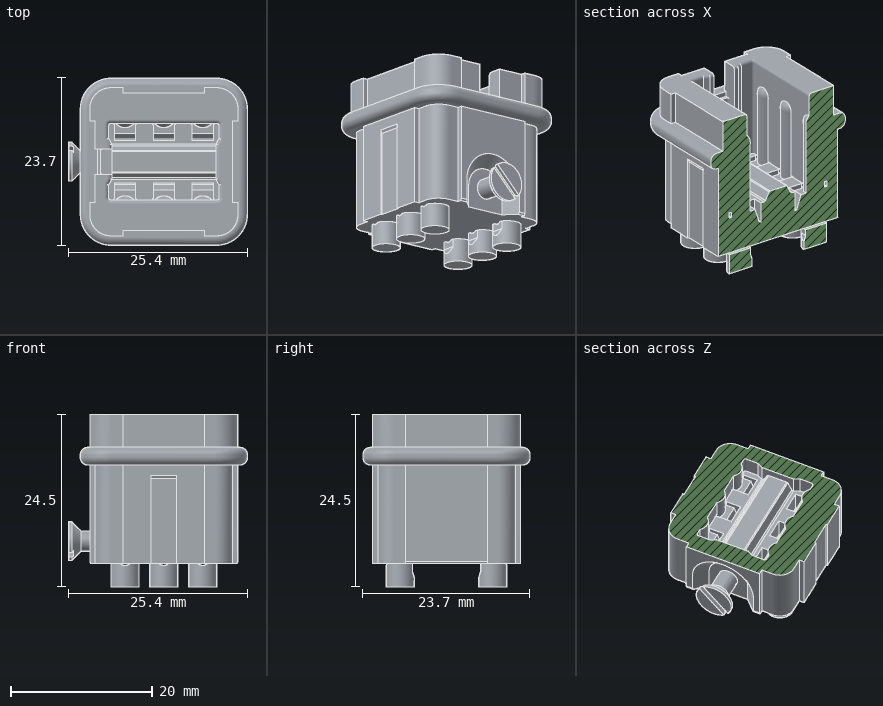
import cadquery as cq

body_half = 10.5
body_height = 21.17
step_depth = 0.75
panel_half = 5.78
corner_center = 7.5
foot_chamfer_width = 0.13
foot_chamfer_height = 0.33

ring_half = 23.7 / 2
ring_radius = 4.4
ring_bottom = 13.97
ring_top = 16.5
ring_rounding = 1.1

cavity_half_y = 5.4
cavity_half_x = 7.8
waist_half_x = 7.38
waist_half_y = 2.48
waist_slant_end = 3.3
cavity_corner = 0.25
rim_radius = 0.53
floor_z = 6.35

slot_width = 3.6
slot_step_x = -9.43
slot_pocket_x = -9.0
slot_step_z = 15.72
slot_pocket_z = 12.68
slot_pocket_corner = 0.3

ridge_profile = [(waist_half_y, 0.0), (2.23, 0.13), (1.6, 1.35), (1.42, 1.42)]

contact_pitch = 5.5
contact_y = 6.55
contact_radius = 1.7
contact_tip_radius = 1.72
contact_tip_z = 16.38
pin_radius = 4.0 / 2
pin_bottom = -3.32
pin_flat_y = 4.82
pin_flat_bottom = -1.15
pin_taper_bottom = -1.98
pin_bore_radius = 0.95
pin_bore_z = 0.7

window_width = 3.0
window_ledge_depth = 0.75
window_profile = [(4.0, window_ledge_depth), (3.25, 2.92), (3.02, 3.02)]

groove_width = 3.65
groove_depth = 0.2
groove_top = 12.5
groove_roof_drop = 0.45

screw_z = 3.2
overall_length = 25.35
screw_end_x = ring_half - overall_length
head_radius = 5.53 / 2
head_rim = 0.45
shank_radius = 2.9 / 2
shank_inner_x = -8.37
screw_slot_width = 0.9
screw_slot_depth = 0.7
screw_slot_angle = 45.0
recess_outer_radius = 4.8
recess_inner_radius = 3.02
recess_depth = 1.77


def block(x0, x1, y0, y1, z0, z1):
    """Box between the given limits."""
    return cq.Workplane("XY").box(x1 - x0, y1 - y0, z1 - z0, centered=False).translate((x0, y0, z0))


def rounded_square(half, radius, z0, z1):
    """Upright square prism with rounded corners, centered on Z."""
    return block(-half, half, -half, half, z0, z1).edges("|Z").fillet(radius)


def along_x(yz_points, half_length):
    """Prism along X with the given (Y, Z) section, centered on X = 0."""
    return cq.Workplane("YZ").polyline(yz_points).close().extrude(half_length, both=True)


def make_upper_body():
    """Four corner columns joined by set-back walls."""
    upper = rounded_square(body_half, body_half - corner_center, ring_bottom, body_height)
    inner = body_half - step_depth
    gap = block(inner, body_half, -panel_half, panel_half, ring_top, body_height)
    for turn in (0, 90, 180, 270):
        upper = upper.cut(gap.rotate((0, 0, 0), (0, 0, 1), turn))
    return upper


def make_lower_body():
    """Set-back corners with a raised panel on each side."""
    core_half = body_half - step_depth
    lower = rounded_square(core_half, core_half - corner_center, 0, ring_bottom)
    x_panels = (
        block(-body_half, body_half, -panel_half, panel_half, 0, ring_bottom)
        .faces("<Z").edges("|Y").chamfer(foot_chamfer_height, foot_chamfer_width)
    )
    y_panels = block(-panel_half, panel_half, -body_half, body_half, 0, ring_bottom)
    return lower.union(x_panels).union(y_panels)


def make_ring():
    ring = rounded_square(ring_half, ring_radius, ring_bottom, ring_top)
    return ring.faces("<Z or >Z").edges().fillet(ring_rounding)


def cut_cavity(body):
    """Open cavity, slightly narrower at mid length, with a rounded rim."""
    quarter = [
        (waist_half_x, waist_half_y),
        (cavity_half_x, waist_slant_end),
        (cavity_half_x, cavity_half_y),
    ]
    outline = []
    for sx, sy in ((1, 1), (-1, 1), (-1, -1), (1, -1)):
        corner = [(sx * x, sy * y) for x, y in quarter]
        outline += corner if sx == sy else corner[::-1]
    cavity = (
        cq.Workplane("XY").workplane(offset=floor_z)
        .polyline(outline).close().extrude(body_height - floor_z)
        .edges("|Z and (>Y or <Y)").fillet(cavity_corner)
    )
    body = body.cut(cavity)
    margin = 0.03
    rim = cq.selectors.BoxSelector(
        (-cavity_half_x - margin, -cavity_half_y - margin, body_height - margin),
        (cavity_half_x + margin, cavity_half_y + margin, body_height + margin),
    )
    return body.edges(rim).fillet(rim_radius)


def make_slot():
    """Cutter for the slot in the -X wall, its floor stepping down inward."""
    half = slot_width / 2
    slot = block(-body_half, -waist_half_x, -half, half, ring_top, body_height)
    step = block(slot_step_x, -waist_half_x, -half, half, slot_step_z, ring_top)
    pocket = (
        block(slot_pocket_x, -waist_half_x, -half, half, slot_pocket_z, ring_top)
        .edges("|Z and <X").fillet(slot_pocket_corner)
    )
    return slot.union(step).union(pocket)


def make_ridge():
    left = [(-y, floor_z + h) for y, h in ridge_profile]
    right = [(y, floor_z + h) for y, h in reversed(ridge_profile)]
    return along_x(left + right, waist_half_x)


def make_window():
    """Cutter for the floor opening at a contact on the +Y side."""
    points = [(cavity_half_y, floor_z), (cavity_half_y, floor_z - window_ledge_depth)]
    points += [(y, floor_z - depth) for y, depth in window_profile]
    points.append((window_profile[-1][0], floor_z))
    bore = (
        cq.Workplane("XY").workplane(offset=floor_z)
        .center(0, contact_y).circle(pin_radius).extrude(-window_ledge_depth)
    )
    return along_x(points, window_width / 2).union(bore)


def make_contact():
    """Dome-tipped contact with its terminal pin, on the +Y side."""
    axis = cq.Workplane("XY").center(0, contact_y)
    pin_flat = [
        (0, 0), (pin_flat_y, 0), (pin_flat_y, pin_flat_bottom),
        (contact_y - pin_radius, pin_taper_bottom), (0, pin_taper_bottom),
    ]
    bore = (
        cq.Workplane("XZ").center(0, pin_bore_z).circle(pin_bore_radius)
        .extrude(-2 * contact_y)
    )
    pin = axis.circle(pin_radius).extrude(pin_bottom)
    pin = pin.cut(along_x(pin_flat, pin_radius)).cut(bore)
    rod = axis.circle(contact_radius).extrude(contact_tip_z)
    tip = cq.Workplane("XY").sphere(contact_tip_radius).translate((0, contact_y, contact_tip_z))
    return pin.union(rod).union(tip)


def six_places(shape):
    """Copies of a +Y side shape at the three contact columns on both sides."""
    places = []
    for column in (-1, 0, 1):
        for turn in (0, 180):
            placed = shape.rotate((0, 0, 0), (0, 0, 1), turn)
            places.append(placed.translate((column * contact_pitch, 0, 0)))
    return places


def make_groove():
    """Cutter for the shallow groove on the +Y face, with a sloping roof."""
    inner = body_half - groove_depth
    section = [(body_half, 0), (body_half, groove_top), (inner, groove_top - groove_roof_drop), (inner, 0)]
    return along_x(section, groove_width / 2)


def make_screw_recess():
    """Cutter for the arched, tapering recess around the screw, open downward."""
    floor_x = recess_depth - body_half
    cone = (
        cq.Workplane("XY")
        .polyline([
            (-body_half, 0), (-body_half, recess_outer_radius),
            (floor_x, recess_inner_radius), (floor_x, 0),
        ])
        .close().revolve(360, (0, 0, 0), (1, 0, 0))
        .translate((0, 0, screw_z))
    )
    mouth = (
        cq.Workplane("XY")
        .polyline([
            (-body_half, -recess_outer_radius), (floor_x, -recess_inner_radius),
            (floor_x, recess_inner_radius), (-body_half, recess_outer_radius),
        ])
        .close().extrude(screw_z)
    )
    return cone.union(mouth)


def make_screw():
    """Countersunk slotted screw along X."""
    rim_x = screw_end_x + head_rim
    neck_x = rim_x + head_radius - shank_radius
    screw = (
        cq.Workplane("XY")
        .polyline([
            (screw_end_x, 0), (screw_end_x, head_radius), (rim_x, head_radius),
            (neck_x, shank_radius), (shank_inner_x, shank_radius), (shank_inner_x, 0),
        ])
        .close().revolve(360, (0, 0, 0), (1, 0, 0))
    )
    slot_half = screw_slot_width / 2
    slot = block(
        screw_end_x, screw_end_x + screw_slot_depth,
        -head_radius, head_radius, -slot_half, slot_half,
    ).rotate((0, 0, 0), (1, 0, 0), screw_slot_angle)
    return screw.cut(slot).translate((0, 0, screw_z))


result = make_lower_body().union(make_upper_body())
result = cut_cavity(result.union(make_ring()))
result = result.cut(make_slot()).union(make_ridge())
for window in six_places(make_window()):
    result = result.cut(window)
for turn in (0, 180):
    result = result.cut(make_groove().rotate((0, 0, 0), (0, 0, 1), turn))
result = result.cut(make_screw_recess()).union(make_screw())
for contact in six_places(make_contact()):
    result = result.union(contact)